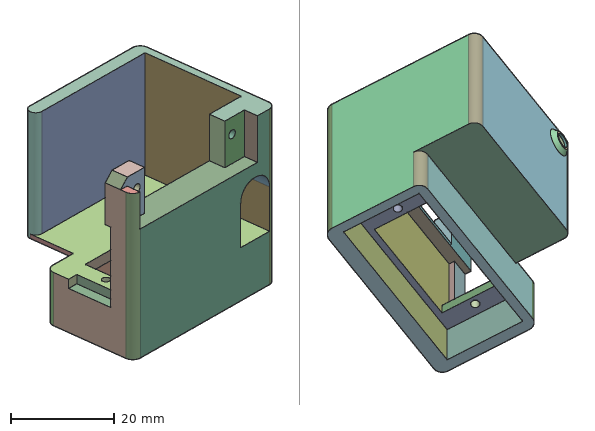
import cadquery as cq

BODY_LENGTH = 35.45
BODY_WIDTH = 41.5
BODY_HEIGHT = 39.5
CORNER_RADIUS = 2.0

BOX_LEFT = 12.7
BOX_FRONT_WALL = 2.4
BOX_WALL = 2.0

FLOOR_TOP = 12.0
OVERHANG_BOTTOM = 10.95
BOX_ROOF = 2.4

LEFT_WALL = 3.15
LEFT_WALL_FRONT = 7.97
BACK_WALL = 1.9
LEFT_END_RADIUS = LEFT_WALL / 2

LIP_LEFT = 28.1
LIP_BOTTOM = 28.0
RIGHT_WALL_TOP = 29.02
RIGHT_WALL_INNER = 30.72
JAMB_INNER = 29.48
JAMB_WIDTH = 3.8

POST_BACK = 32.1
FRONT_POST_WIDTH = 6.98
FRONT_POST_TOP = 39.35
FRONT_POST_CHAMFER = 2.0
REAR_POST_FRONT = 30.35
FRONT_COLUMN_WIDTH = 1.9
FRONT_COLUMN_TOP = 37.35
REAR_COLUMN_FRONT = 36.1
POST_HOLE_DIAMETER = 1.9
POST_HOLE_Z = 35.62

OPENING_LEFT = 17.25
OPENING_FRONT = 6.4
OPENING_BACK = 30.65
FLOOR_HOLE_DIAMETER = 1.8
FLOOR_HOLE_X = 24.12
HOLE_FRONT_Y = 4.75
HOLE_BACK_Y = 32.45

NOTCH_LEFT = 18.6
NOTCH_DEPTH = 2.08

WINDOW_FRONT = 31.22
WINDOW_TOP = 25.95
WINDOW_RADIUS = 4.0

BOSS_Y = 12.4
BOSS_Z = 35.6
BOSS_BASE_RADIUS = 2.9
BOSS_HEIGHT = 0.95
BOSS_TIP_RADIUS = BOSS_BASE_RADIUS - BOSS_HEIGHT
BOSS_RECESS_DIAMETER = 3.05
BOSS_RECESS_DEPTH = 0.5


def block(x_range, y_range, z_range):
    """Box between the given limits."""
    size = [end - start for start, end in (x_range, y_range, z_range)]
    corner = (x_range[0], y_range[0], z_range[0])
    return cq.Workplane("XY").box(*size, centered=False).translate(corner)


def rounded_block(x_range, y_range, z_range, corners):
    """Block with the vertical edges picked by the corner selector rounded."""
    return block(x_range, y_range, z_range).edges("|Z").edges(corners).fillet(CORNER_RADIUS)


def make_base():
    """Lower box carrying the floor, with the floor overhanging to the left."""
    box = rounded_block((BOX_LEFT, BODY_LENGTH), (0, BODY_WIDTH), (0, FLOOR_TOP), "|Z")
    overhang = (
        block((0, BODY_LENGTH), (LEFT_WALL_FRONT, BODY_WIDTH), (OVERHANG_BOTTOM, FLOOR_TOP))
        .edges("|Z and >Y").fillet(CORNER_RADIUS)
        .edges("|Z and <X and <Y").fillet(LEFT_END_RADIUS)
    )
    return box.union(overhang)


def make_left_and_back_walls():
    """Left wall with a round front end, and the back wall."""
    z_range = (OVERHANG_BOTTOM, BODY_HEIGHT)
    left = (
        block((0, LEFT_WALL), (LEFT_WALL_FRONT + LEFT_END_RADIUS, BODY_WIDTH), z_range)
        .edges("|Z and <X and >Y").fillet(CORNER_RADIUS)
    )
    left_end = (
        cq.Workplane("XY", origin=(LEFT_END_RADIUS, LEFT_WALL_FRONT + LEFT_END_RADIUS, OVERHANG_BOTTOM))
        .circle(LEFT_END_RADIUS)
        .extrude(BODY_HEIGHT - OVERHANG_BOTTOM)
    )
    back = rounded_block((0, BODY_LENGTH), (BODY_WIDTH - 2 * CORNER_RADIUS, BODY_WIDTH), z_range, ">Y")
    inside = block((LEFT_WALL, BODY_LENGTH), (0, BODY_WIDTH - BACK_WALL), z_range)
    return left.union(left_end).union(back.cut(inside))


def make_right_wall():
    """Right wall with its lip, jamb, mounting posts and corner columns."""
    wall = block((RIGHT_WALL_INNER, BODY_LENGTH), (0, BODY_WIDTH), (0, RIGHT_WALL_TOP))
    jamb = block((JAMB_INNER, POST_BACK), (0, JAMB_WIDTH), (FLOOR_TOP - NOTCH_DEPTH, RIGHT_WALL_TOP))
    lip = block((LIP_LEFT, POST_BACK), (0, BODY_WIDTH), (LIP_BOTTOM, RIGHT_WALL_TOP))
    front_post = (
        block((LIP_LEFT, POST_BACK), (0, FRONT_POST_WIDTH), (LIP_BOTTOM, FRONT_POST_TOP))
        .edges("|X and <Y and >Z").chamfer(FRONT_POST_CHAMFER)
    )
    rear_post = block((LIP_LEFT, POST_BACK), (REAR_POST_FRONT, BODY_WIDTH), (LIP_BOTTOM, BODY_HEIGHT))
    front_column = block((POST_BACK, BODY_LENGTH), (0, FRONT_COLUMN_WIDTH), (0, FRONT_COLUMN_TOP))
    rear_column = block((POST_BACK, BODY_LENGTH), (REAR_COLUMN_FRONT, BODY_WIDTH), (0, BODY_HEIGHT))
    right = wall
    for piece in (jamb, lip, front_post, rear_post, front_column, rear_column):
        right = right.union(piece)
    envelope = rounded_block((0, BODY_LENGTH), (0, BODY_WIDTH), (0, BODY_HEIGHT), ">X")
    return right.intersect(envelope)


def make_boss():
    """Conical boss standing out from the left wall."""
    profile = [
        (0, 0),
        (BOSS_BASE_RADIUS, 0),
        (BOSS_TIP_RADIUS, BOSS_HEIGHT),
        (BOSS_RECESS_DIAMETER / 2, BOSS_HEIGHT),
        (BOSS_RECESS_DIAMETER / 2, BOSS_HEIGHT - BOSS_RECESS_DEPTH),
        (0, BOSS_HEIGHT - BOSS_RECESS_DEPTH),
    ]
    boss = cq.Workplane("XY").polyline(profile).close().revolve(360, (0, 0, 0), (0, 1, 0))
    return boss.rotate((0, 0, 0), (0, 0, 1), 90).translate((0, BOSS_Y, BOSS_Z))


def make_box_hollow():
    """Cavity in the box, open underneath, and the opening in the floor above it."""
    cavity = block(
        (BOX_LEFT + BOX_WALL, POST_BACK),
        (BOX_FRONT_WALL, BODY_WIDTH - BOX_WALL),
        (0, FLOOR_TOP - BOX_ROOF),
    )
    opening = block((OPENING_LEFT, RIGHT_WALL_INNER), (OPENING_FRONT, OPENING_BACK), (0, FLOOR_TOP))
    return cavity.union(opening)


def make_notch():
    """Notch in the front edge of the floor, running up to the jamb."""
    return block((NOTCH_LEFT, JAMB_INNER), (0, BOX_FRONT_WALL), (FLOOR_TOP - NOTCH_DEPTH, FLOOR_TOP))


def make_window():
    """Window through the right wall with rounded upper corners."""
    window = block(
        (RIGHT_WALL_INNER, BODY_LENGTH),
        (WINDOW_FRONT, BODY_WIDTH - BACK_WALL),
        (FLOOR_TOP, WINDOW_TOP),
    )
    return window.edges("|X and >Z").fillet(WINDOW_RADIUS)


def make_screw_holes():
    """Vertical holes through the floor and cross holes through the posts, in line in Y."""
    ends = [HOLE_FRONT_Y, HOLE_BACK_Y]
    floor_holes = (
        cq.Workplane("XY")
        .pushPoints([(FLOOR_HOLE_X, y) for y in ends])
        .circle(FLOOR_HOLE_DIAMETER / 2)
        .extrude(FLOOR_TOP)
    )
    post_holes = (
        cq.Workplane("YZ", origin=(LIP_LEFT, 0, 0))
        .pushPoints([(y, POST_HOLE_Z) for y in ends])
        .circle(POST_HOLE_DIAMETER / 2)
        .extrude(POST_BACK - LIP_LEFT)
    )
    return floor_holes.union(post_holes)


result = make_base().union(make_left_and_back_walls()).union(make_right_wall()).union(make_boss())
for hollow in (make_box_hollow(), make_notch(), make_window(), make_screw_holes()):
    result = result.cut(hollow)